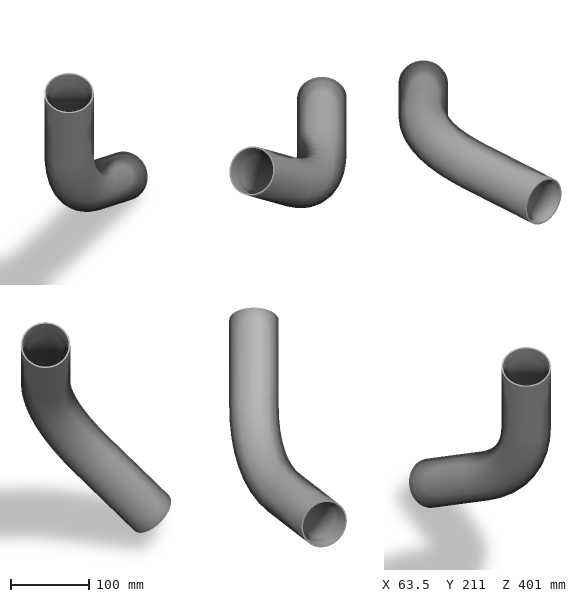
import cadquery as cq
import math

outer_diameter = 63.5
inner_diameter = 59.5
overall_height = 401.0
bend_radius = 228.5
bend_angle = 45.0
slope = math.radians(bend_angle)

bend_and_rim_height = (bend_radius + outer_diameter / 2) * math.sin(slope)
leg_length = (overall_height - bend_and_rim_height) / (1 + math.cos(slope))


def bend_point(angle_degrees):
    """Point (Y, Z) on the bend centreline, measured from the foot of the vertical leg."""
    angle = math.radians(angle_degrees)
    return (bend_radius * (1 - math.cos(angle)), -bend_radius * math.sin(angle))


bend_end = bend_point(bend_angle)
lower_end = (
    bend_end[0] + leg_length * math.sin(slope),
    bend_end[1] - leg_length * math.cos(slope),
)
centreline = (
    cq.Workplane("YZ")
    .moveTo(0, leg_length)
    .lineTo(0, 0)
    .threePointArc(bend_point(bend_angle / 2), bend_end)
    .lineTo(*lower_end)
)

result = (
    cq.Workplane("XY", origin=(0, 0, leg_length))
    .circle(outer_diameter / 2)
    .circle(inner_diameter / 2)
    .sweep(centreline)
)